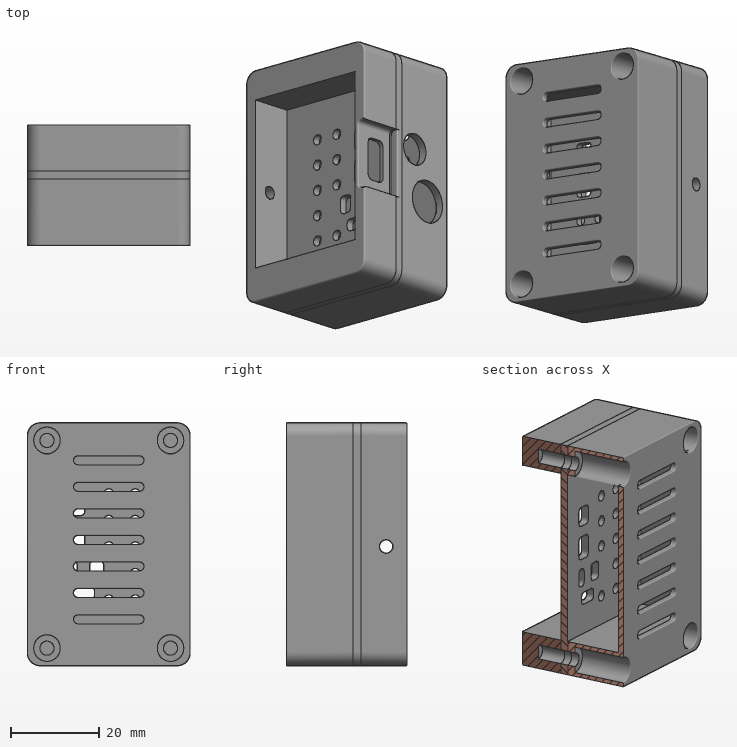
import cadquery as cq

WIDTH = 37.0
DEPTH = 27.4
HEIGHT = 55.2
CORNER_RADIUS = 3.0
BACK_FRAME_DEPTH = 10.45
PLATE_THICKNESS = 1.9

FRONT_Y = -DEPTH / 2
BACK_Y = DEPTH / 2
PLATE_BACK_Y = BACK_Y - BACK_FRAME_DEPTH
PLATE_FRONT_Y = PLATE_BACK_Y - PLATE_THICKNESS
LEFT_X = -WIDTH / 2
FRONT_EDGE_FILLET = 0.2
BACK_EDGE_FILLET = 0.4

FRONT_WALL = 1.5
COVER_SIDE_WALL = 2.0
FRAME_SIDE_WALL = 3.0
CAVITY_HEIGHT = 40.0
CAVITY_CENTER_Z = 0.5

SCREW_X = 14.0
SCREW_Z = 23.55
SCREW_HEAD_DIAMETER = 6.0
SCREW_SHANK_DIAMETER = 3.2
SCREW_SEAT_THICKNESS = 2.0
SCREW_DEPTH_IN_FRAME = 6.0

SLOT_COUNT = 7
SLOT_PITCH = 6.0
SLOT_LENGTH = 16.0
SLOT_WIDTH = 2.0
SLOT_CENTER_Z = 1.0

SIDE_OPENINGS = [(7.4, -2.9, 5.2), (10.0, -7.1, -6.3)]

GRID_HOLE_DIAMETER = 2.4
GRID_PITCH = 6.0
GRID_COLUMNS = 2
GRID_ROWS = 5
GRID_CENTER_Z = -0.65
MISSING_GRID_HOLE = (0, -1)

CUTOUT_LEFT_X = -9.4
PLATE_CUTOUTS = [
    (CUTOUT_LEFT_X, -5.45, 6.5, 11.05),
    (CUTOUT_LEFT_X, -5.45, -1.5, 4.0),
    (CUTOUT_LEFT_X, -7.2, -8.0, -3.75),
    (-4.3, -1.15, -8.0, -3.75),
    (-8.3, -3.25, -12.55, -9.65),
]
CUTOUT_CORNER_RADIUS = 1.0

RECESS_HEIGHT = 16.0
RECESS_CENTER_Z = 0.6
RECESS_DEPTH = 2.0
RECESS_FILLET = 1.0
RECESS_LENGTH = 10.95
RECESS_END_FILLET = BACK_EDGE_FILLET

WINDOW_WIDTH = 5.0
WINDOW_HEIGHT = 10.0
WINDOW_CORNER_RADIUS = 1.5
WINDOW_Y = 7.95
WINDOW_Z = 0.5
OPPOSITE_HOLE_DIAMETER = 3.0
OPPOSITE_HOLE_Y = 8.95
OPPOSITE_HOLE_Z = -0.5


def face_plane(y):
    """Workplane with local axes X and Z at the given Y; a negative extrusion goes toward +Y."""
    return cq.Workplane("XZ", origin=(0, y, 0))


def side_plane(x):
    """Workplane with local axes Y and Z at the given X; a positive extrusion goes toward +X."""
    return cq.Workplane("YZ", origin=(x, 0, 0))


def layer(y_start, y_end):
    """Rounded block with the outline of the enclosure."""
    block = face_plane(y_start).rect(WIDTH, HEIGHT).extrude(y_start - y_end)
    return block.edges("|Y").fillet(CORNER_RADIUS)


def cavity(y_start, y_end, side_wall):
    """Rectangular inside space between two Y positions."""
    outline = face_plane(y_start).center(0, CAVITY_CENTER_Z).rect(WIDTH - 2 * side_wall, CAVITY_HEIGHT)
    return outline.extrude(y_start - y_end)


def screw_holes(diameter, y_start, y_end):
    """Four corner cylinders along Y."""
    centers = face_plane(y_start).rect(2 * SCREW_X, 2 * SCREW_Z, forConstruction=True).vertices()
    return centers.circle(diameter / 2).extrude(y_start - y_end)


def vent_slots():
    """Column of rounded slots through the front wall."""
    slots = face_plane(FRONT_Y).center(0, SLOT_CENTER_Z).rarray(0.55, SLOT_PITCH, 1, SLOT_COUNT)
    return slots.slot2D(SLOT_LENGTH, SLOT_WIDTH).extrude(-FRONT_WALL)


def side_openings():
    """Round openings through the -X wall of the front cover."""
    cutters = cq.Workplane()
    for diameter, y, z in SIDE_OPENINGS:
        cutters = cutters.add(side_plane(LEFT_X).center(y, z).circle(diameter / 2).extrude(COVER_SIDE_WALL))
    return cutters.combine()


def connector_recess():
    """Recess with filleted floor sides, open toward the back and -X."""
    end_y = BACK_Y - RECESS_LENGTH
    bottom_z = RECESS_CENTER_Z - RECESS_HEIGHT / 2
    recess = cq.Workplane("XY").box(RECESS_DEPTH, RECESS_LENGTH, RECESS_HEIGHT, centered=False)
    recess = recess.translate((LEFT_X, end_y, bottom_z))
    return recess.edges("|Y and >X").fillet(RECESS_FILLET)


def recess_end_rounding():
    """Cutter that rounds the outer edge at the end of the recess."""
    end_y = BACK_Y - RECESS_LENGTH
    bottom_z = RECESS_CENTER_Z - RECESS_HEIGHT / 2
    profile = (
        cq.Workplane("XY", origin=(LEFT_X, end_y, bottom_z))
        .lineTo(RECESS_END_FILLET, 0)
        .radiusArc((0, -RECESS_END_FILLET), -RECESS_END_FILLET)
        .close()
    )
    return profile.extrude(RECESS_HEIGHT)


def connector_window():
    """Rounded window through the thin wall behind the recess."""
    window = side_plane(LEFT_X).center(WINDOW_Y, WINDOW_Z).rect(WINDOW_WIDTH, WINDOW_HEIGHT)
    return window.extrude(FRAME_SIDE_WALL).edges("|X").fillet(WINDOW_CORNER_RADIUS)


def plate_grid_holes():
    """Grid of small holes, without the one that meets a cutout."""
    half_rows = GRID_ROWS // 2
    centers = [
        (column * GRID_PITCH, GRID_CENTER_Z + row * GRID_PITCH)
        for column in range(GRID_COLUMNS)
        for row in range(-half_rows, half_rows + 1)
        if (column, row) != MISSING_GRID_HOLE
    ]
    holes = face_plane(PLATE_FRONT_Y).pushPoints(centers).circle(GRID_HOLE_DIAMETER / 2)
    return holes.extrude(-PLATE_THICKNESS)


def plate_cutout(left, right, bottom, top):
    """Rectangular cutout with rounded corners through the plate."""
    outline = face_plane(PLATE_FRONT_Y).center((left + right) / 2, (bottom + top) / 2)
    block = outline.rect(right - left, top - bottom).extrude(-PLATE_THICKNESS)
    return block.edges("|Y").fillet(CUTOUT_CORNER_RADIUS)


def make_front_cover():
    """Front box with vent slots, cable openings and deep screw bores."""
    seat_y = PLATE_FRONT_Y - SCREW_SEAT_THICKNESS
    cover = layer(FRONT_Y, PLATE_FRONT_Y)
    cover = cover.cut(screw_holes(SCREW_HEAD_DIAMETER, FRONT_Y, seat_y))
    cover = cover.cut(vent_slots())
    cover = cover.faces("<Y").edges().fillet(FRONT_EDGE_FILLET)
    cover = cover.cut(screw_holes(SCREW_SHANK_DIAMETER, seat_y, PLATE_FRONT_Y))
    cover = cover.cut(cavity(FRONT_Y + FRONT_WALL, PLATE_FRONT_Y, COVER_SIDE_WALL))
    return cover.cut(side_openings())


def make_plate():
    """Middle plate with a hole grid and cutouts."""
    plate = layer(PLATE_FRONT_Y, PLATE_BACK_Y)
    plate = plate.cut(screw_holes(SCREW_SHANK_DIAMETER, PLATE_FRONT_Y, PLATE_BACK_Y))
    plate = plate.cut(plate_grid_holes())
    for limits in PLATE_CUTOUTS:
        plate = plate.cut(plate_cutout(*limits))
    return plate.cut(connector_recess()).cut(recess_end_rounding())


def make_back_frame():
    """Open frame with blind screw holes, the connector window and a hole opposite it."""
    frame = layer(PLATE_BACK_Y, BACK_Y).cut(connector_recess())
    frame = frame.faces(">Y").edges().fillet(BACK_EDGE_FILLET)
    frame = frame.cut(cavity(PLATE_BACK_Y, BACK_Y, FRAME_SIDE_WALL))
    frame = frame.cut(screw_holes(SCREW_SHANK_DIAMETER, PLATE_BACK_Y, PLATE_BACK_Y + SCREW_DEPTH_IN_FRAME))
    frame = frame.cut(connector_window())
    opposite_hole = side_plane(0).center(OPPOSITE_HOLE_Y, OPPOSITE_HOLE_Z).circle(OPPOSITE_HOLE_DIAMETER / 2)
    return frame.cut(opposite_hole.extrude(WIDTH / 2))


front_cover = make_front_cover()
plate = make_plate()
back_frame = make_back_frame()

result = cq.Compound.makeCompound([front_cover.val(), plate.val(), back_frame.val()])